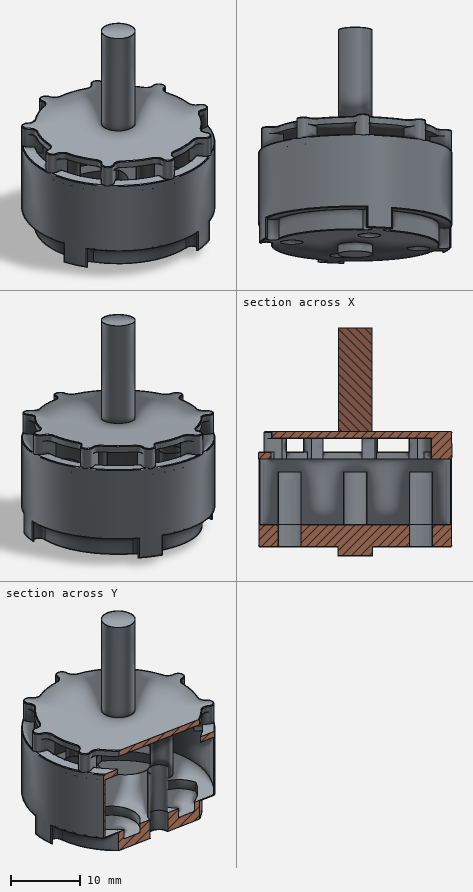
import cadquery as cq
import math

boss_height = 1.3
base_thickness = 3.0
can_height = 10.7
vent_height = 2.0
cap_thickness = 1.0
shaft_length = 15.0

base_bottom = boss_height
base_top = base_bottom + base_thickness
can_top = base_top + can_height
cap_bottom = can_top + vent_height
cap_top = cap_bottom + cap_thickness

outer_radius = 14.0
can_wall = 0.2
floor_top = base_top + can_wall
lip_inner_radius = 12.2
lip_thickness = 1.0
edge_chamfer = 0.12

cap_radius = 12.1
post_count = 9
post_half_width = 0.95
post_inner_radius = 11.0
post_tip_center = outer_radius - post_half_width
post_root_fillet = 1.15

base_radius = 12.15
lug_count = 4
lug_half_width = 1.9
lug_corner_chamfer = 0.15
relief_radius = 0.85
relief_center = 12.78
relief_offset = 1.75
boss_diameter = 5.0

screw_hole_diameter = 3.25
screw_sleeve_wall = 0.04
screw_sleeve_top = 12.1
screw_spacing_x = 16.0
screw_spacing_y = 19.0
pocket_radius = 4.2
pocket_center = 8.85
pocket_limit_radius = 11.5
pocket_depth = 1.5

shaft_diameter = 4.9

post_angles = [90 + index * 360 / post_count for index in range(post_count)]
lug_angles = [index * 360 / lug_count for index in range(lug_count)]
screw_places = [
    (-screw_spacing_x / 2, 0, 0),
    (screw_spacing_x / 2, 0, 0),
    (0, -screw_spacing_y / 2, 0),
    (0, screw_spacing_y / 2, 0),
]


def disc(radius, bottom, top):
    """Solid cylinder on the motor axis."""
    return cq.Workplane("XY").workplane(offset=bottom).circle(radius).extrude(top - bottom)


def turned(body, angle):
    """Body turned about the motor axis."""
    return body.rotate((0, 0, 0), (0, 0, 1), angle)


def radial_bar(length, half_width, bottom, top):
    """Straight bar from the axis along +X."""
    return (
        cq.Workplane("XY")
        .workplane(offset=bottom)
        .center(length / 2, 0)
        .rect(length, 2 * half_width)
        .extrude(top - bottom)
    )


def make_post(bottom, top):
    """Vent post with a fully round outer tip that touches the can's outer cylinder."""
    tip = disc(post_half_width, bottom, top).translate((post_tip_center, 0, 0))
    return radial_bar(post_tip_center, post_half_width, bottom, top).union(tip)


def make_cap():
    """Star-shaped end plate with filleted post roots and a chamfered top rim."""
    cap = disc(cap_radius, cap_bottom, cap_top)
    for angle in post_angles:
        cap = cap.union(turned(make_post(cap_bottom, cap_top), angle))
    root_angle = math.asin(post_half_width / cap_radius)
    for angle in post_angles:
        for side in (-1, 1):
            direction = math.radians(angle) + side * root_angle
            root = (cap_radius * math.cos(direction), cap_radius * math.sin(direction), cap_bottom)
            edge = cap.edges("|Z").edges(cq.NearestToPointSelector(root))
            cap = edge.fillet(post_root_fillet)
    return cap.faces(">Z").edges().chamfer(edge_chamfer)


def make_can():
    """Thin-walled can with a floor and an inward lip at its top."""
    can = disc(outer_radius, base_top, can_top).faces("<Z or >Z").edges().chamfer(edge_chamfer)
    can = can.cut(disc(outer_radius - can_wall, floor_top, can_top - lip_thickness))
    return can.cut(disc(lip_inner_radius, floor_top, can_top))


def make_vent_posts():
    """Posts that carry the end plate above the can's lip."""
    bottom = can_top - lip_thickness
    post = make_post(bottom, cap_bottom).cut(disc(post_inner_radius, bottom, cap_bottom))
    return [turned(post, angle) for angle in post_angles]


def make_lug():
    """Lug reaching the can's outside, with chamfered outer corners and bottom edge."""
    lug_top = base_top + edge_chamfer
    lug = radial_bar(outer_radius, lug_half_width, base_bottom, lug_top)
    lug = lug.intersect(disc(outer_radius, base_bottom, lug_top))
    lug = lug.edges("|Z").edges(">X").chamfer(lug_corner_chamfer)
    return lug.faces("<Z").edges(">X").chamfer(edge_chamfer)


def lug_reliefs():
    """Pair of round reliefs that undercut both sides of a lug."""
    return (
        cq.Workplane("XY")
        .workplane(offset=base_bottom)
        .pushPoints([(relief_center, -relief_offset), (relief_center, relief_offset)])
        .circle(relief_radius)
        .extrude(base_thickness)
    )


def make_base():
    """Base plate with four lugs and a chamfered bottom rim."""
    base = disc(base_radius, base_bottom, base_top).faces("<Z").edges().chamfer(edge_chamfer)
    for angle in lug_angles:
        base = base.union(turned(make_lug(), angle))
    for angle in lug_angles:
        base = base.cut(turned(lug_reliefs(), angle))
    return base


def floor_pocket():
    """Round pocket in the floor, cut short on its outer side."""
    bottom = floor_top - pocket_depth
    pocket = disc(pocket_radius, bottom, floor_top).translate((pocket_center, 0, 0))
    return pocket.intersect(disc(pocket_limit_radius, bottom, floor_top))


def make_housing():
    """Base, can, vent posts and end plate in one piece."""
    housing = make_can().union(make_base())
    for post in make_vent_posts():
        housing = housing.union(post)
    housing = housing.union(make_cap())
    for angle in lug_angles:
        housing = housing.cut(turned(floor_pocket(), angle + 180 / lug_count))
    hole_radius = screw_hole_diameter / 2
    for place in screw_places:
        sleeve = disc(hole_radius + screw_sleeve_wall, base_bottom, screw_sleeve_top)
        screw_hole = disc(hole_radius, base_bottom, screw_sleeve_top)
        housing = housing.union(sleeve.translate(place)).cut(screw_hole.translate(place))
    return housing.union(disc(boss_diameter / 2, 0, base_bottom))


def make_shaft():
    """Output shaft standing on the end plate."""
    return disc(shaft_diameter / 2, cap_top, cap_top + shaft_length)


housing = make_housing()
shaft = make_shaft()

result = cq.Compound.makeCompound([housing.val(), shaft.val()])